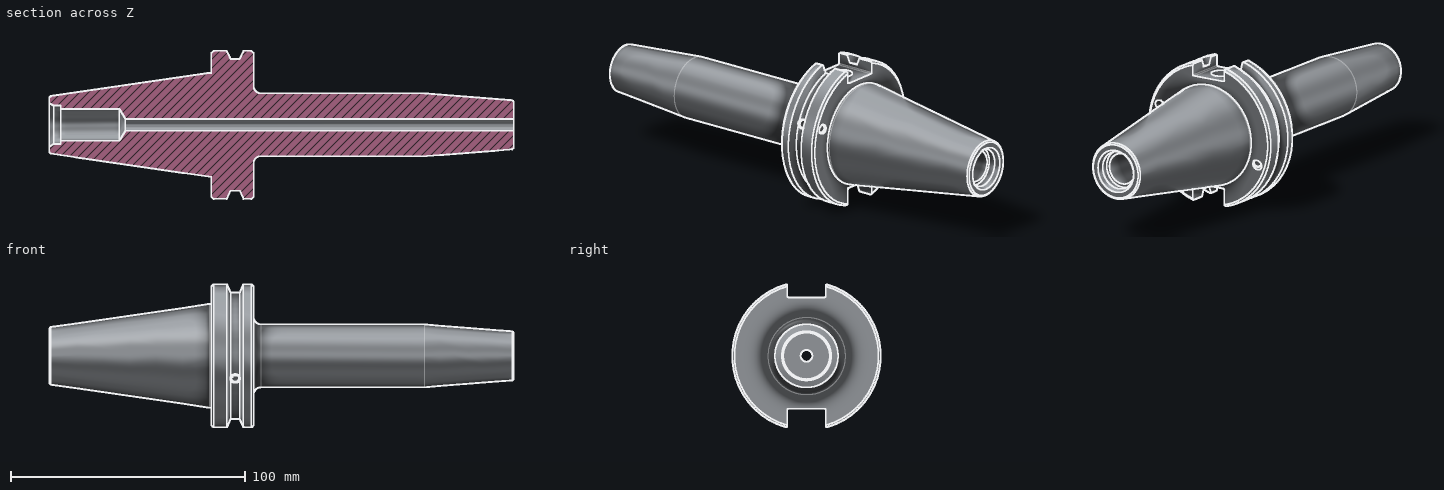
import cadquery as cq
import math

tolerance = 0.01

taper_length = 68.25
nose_x = 130.0
gauge_diameter = 44.45
taper_ratio = 7 / 24
taper_end_chamfer = 0.6

flange_diameter = 63.5
flange_start = 0.9
flange_end = 19.05
flange_chamfer = 1.0
groove_center = 11.1
groove_floor_width = 3.9
groove_floor_diameter = 56.5
groove_wall_angle = 24.0

stem_diameter = 27.0
stem_fillet = 3.0
nose_diameter = 21.0
nose_half_angle = 4.5
nose_chamfer = 0.6

mouth_diameter = 18.5
mouth_half_angle = 30.0
pilot_diameter = 16.3
pilot_depth = 4.9
thread_diameter = 13.39
thread_depth = 30.0
drill_point_angle = 118.0
through_diameter = 4.92

slot_width = 16.3
slot_edge_chamfer = 0.5
slot_floor_fillet = 0.5
upper_slot_height = 25.0
lower_slot_depth = 22.6
dimple_diameter = 9.53

coolant_angle = 20.0
coolant_radius = 27.0
coolant_tilt = 30.0
coolant_mouth_diameter = 4.0
coolant_mouth_depth = 2.2
coolant_inner_diameter = 3.24
coolant_inner_depth = 10.0
plug_mouth_diameter = 4.2
plug_hole_diameter = 3.24
plug_hole_depth = 8.0


def cone_height(diameter):
    """Height of a drill point of the given diameter."""
    return diameter / 2 / math.tan(math.radians(drill_point_angle / 2))


def revolve_about_x(profile):
    """Close a half profile and revolve it into a solid about the X axis."""
    return profile.close().revolve(360, (0, 0, 0), (1, 0, 0))


def make_body():
    """Taper, flange and nose revolved about X."""
    end_radius = (gauge_diameter - taper_length * taper_ratio) / 2
    gauge_radius = gauge_diameter / 2
    flange_radius = flange_diameter / 2
    floor_radius = groove_floor_diameter / 2
    stem_radius = stem_diameter / 2
    nose_radius = nose_diameter / 2
    nose_slope = math.tan(math.radians(nose_half_angle))
    nose_start = nose_x - (stem_radius - nose_radius) / nose_slope
    wall_run = (flange_radius - floor_radius) * math.tan(math.radians(groove_wall_angle))
    floor_start = groove_center - groove_floor_width / 2
    floor_end = groove_center + groove_floor_width / 2
    arc_offset = stem_fillet * (1 - math.sqrt(0.5))

    profile = (
        cq.Workplane("XY")
        .moveTo(-taper_length, 0)
        .lineTo(-taper_length, end_radius - taper_end_chamfer)
        .lineTo(-taper_length + taper_end_chamfer, end_radius + taper_end_chamfer * taper_ratio / 2)
        .lineTo(0, gauge_radius)
        .lineTo(flange_start, gauge_radius)
        .lineTo(flange_start, flange_radius - flange_chamfer)
        .lineTo(flange_start + flange_chamfer, flange_radius)
        .lineTo(floor_start - wall_run, flange_radius)
        .lineTo(floor_start, floor_radius)
        .lineTo(floor_end, floor_radius)
        .lineTo(floor_end + wall_run, flange_radius)
        .lineTo(flange_end - flange_chamfer, flange_radius)
        .lineTo(flange_end, flange_radius - flange_chamfer)
        .lineTo(flange_end, stem_radius + stem_fillet)
        .threePointArc(
            (flange_end + arc_offset, stem_radius + arc_offset),
            (flange_end + stem_fillet, stem_radius),
        )
        .lineTo(nose_start, stem_radius)
        .lineTo(nose_x - nose_chamfer, nose_radius + nose_chamfer * nose_slope)
        .lineTo(nose_x, nose_radius - nose_chamfer)
        .lineTo(nose_x, 0)
    )
    return revolve_about_x(profile)


def make_axial_bore():
    """Stepped bore from the taper end, running through to the nose."""
    mouth_depth = (mouth_diameter - pilot_diameter) / 2 / math.tan(math.radians(mouth_half_angle))
    thread_end = -taper_length + thread_depth
    cone_end = thread_end + cone_height(thread_diameter) - cone_height(through_diameter)
    profile = (
        cq.Workplane("XY")
        .moveTo(-taper_length, 0)
        .lineTo(-taper_length, mouth_diameter / 2)
        .lineTo(-taper_length + mouth_depth, pilot_diameter / 2)
        .lineTo(-taper_length + pilot_depth, pilot_diameter / 2)
        .lineTo(-taper_length + pilot_depth, thread_diameter / 2)
        .lineTo(thread_end, thread_diameter / 2)
        .lineTo(cone_end, through_diameter / 2)
        .lineTo(nose_x, through_diameter / 2)
        .lineTo(nose_x, 0)
    )
    return revolve_about_x(profile)


def make_drive_slots():
    """Upper and lower drive slots, with a drill-point dimple in the upper one."""
    slot_length = flange_end - flange_start
    flange_radius = flange_diameter / 2
    slot_middle = (flange_start + flange_end) / 2

    def slot(floor_z, direction):
        height = flange_radius - floor_z
        floor_edges = "|X and <Z" if direction > 0 else "|X and >Z"
        return (
            cq.Workplane("XY")
            .box(slot_length, slot_width, height)
            .edges(floor_edges)
            .fillet(slot_floor_fillet)
            .translate((slot_middle, 0, direction * (floor_z + height / 2)))
        )

    dimple = cq.Solid.makeCone(
        dimple_diameter / 2,
        0,
        cone_height(dimple_diameter),
        cq.Vector(groove_center, 0, upper_slot_height),
        cq.Vector(0, 0, -1),
    )
    return slot(upper_slot_height, 1).union(slot(lower_slot_depth, -1)).union(cq.Workplane(dimple))


def make_coolant_holes():
    """One tilted face hole and one radial groove hole, laid out in the +Y direction."""
    tilt = math.radians(coolant_tilt)
    direction = cq.Vector(math.cos(tilt), -math.sin(tilt), 0)
    mouth = cq.Vector(flange_start, coolant_radius, 0)
    start = mouth - direction * coolant_mouth_diameter

    def drill(diameter, depth):
        return cq.Workplane(
            cq.Solid.makeCylinder(diameter / 2, depth + coolant_mouth_diameter, start, direction)
        )

    floor_radius = groove_floor_diameter / 2
    mouth_chamfer = (plug_mouth_diameter - plug_hole_diameter) / 2
    plug_profile = (
        cq.Workplane("XY")
        .moveTo(0, flange_diameter / 2)
        .lineTo(plug_mouth_diameter / 2, flange_diameter / 2)
        .lineTo(plug_mouth_diameter / 2, floor_radius)
        .lineTo(plug_hole_diameter / 2, floor_radius - mouth_chamfer)
        .lineTo(plug_hole_diameter / 2, floor_radius - plug_hole_depth)
        .lineTo(0, floor_radius - plug_hole_depth)
    )
    plug_hole = plug_profile.close().revolve(360, (0, 0, 0), (0, 1, 0)).translate((groove_center, 0, 0))
    return (
        drill(coolant_mouth_diameter, coolant_mouth_depth)
        .union(drill(coolant_inner_diameter, coolant_inner_depth))
        .union(plug_hole)
    )


def chamfer_slot_edges(part):
    """Break the straight edges where the slot walls meet the outer cylinder of the flange."""
    half_width = slot_width / 2
    edge_height = math.sqrt((flange_diameter / 2) ** 2 - half_width**2)

    def is_rim_edge(edge):
        middle = edge.Center()
        on_wall = math.isclose(abs(middle.y), half_width, abs_tol=tolerance)
        on_rim = math.isclose(abs(middle.z), edge_height, abs_tol=tolerance)
        return on_wall and on_rim

    rim_edges = [edge for edge in part.edges("|X").vals() if is_rim_edge(edge)]
    return part.newObject(rim_edges).chamfer(slot_edge_chamfer)


result = make_body().cut(make_axial_bore()).cut(make_drive_slots())
result = chamfer_slot_edges(result)
coolant_holes = make_coolant_holes()
for angle in (coolant_angle, coolant_angle + 180):
    result = result.cut(coolant_holes.rotate((0, 0, 0), (1, 0, 0), angle))